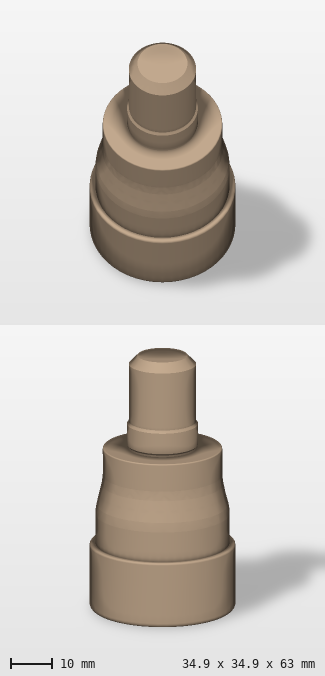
import cadquery as cq
import math

cap_radius = 17.45
cap_height = 16.2
cap_bottom_fillet = 1.15
cap_top_fillet = 0.5

lower_radius = 16.05
upper_radius = 14.3
shoulder_top = 40.0
shoulder_top_fillet = 0.3
cone_bottom = 24.7
cone_top = 32.05
cone_blend_length = 1.165

stud_radius = 8.05
collar_radius = 8.5
collar_bottom = 40.8
collar_top = 45.9
collar_top_bevel_height = 0.7
collar_bottom_bevel = collar_radius - stud_radius
foot_bevel = 0.3
total_height = 63.0
tip_radius = 6.0
tip_chamfer_height = 2.15

cone_angle = math.atan2(lower_radius - upper_radius, cone_top - cone_bottom)
cone_blend_radius = cone_blend_length / math.tan(cone_angle / 2)


def make_cap():
    """Solid disc with rounded rims that carries the post on its flat top."""
    cap = cq.Workplane("XY").circle(cap_radius).extrude(cap_height)
    cap = cap.faces("<Z").edges().fillet(cap_bottom_fillet)
    return cap.faces(">Z").edges().fillet(cap_top_fillet)


def make_shoulder():
    """Stepped round body with a blended cone between its two diameters."""
    profile = (
        cq.Workplane("XZ")
        .moveTo(0, cap_height)
        .lineTo(lower_radius, cap_height)
        .lineTo(lower_radius, cone_bottom)
        .lineTo(upper_radius, cone_top)
        .lineTo(upper_radius, shoulder_top)
        .lineTo(0, shoulder_top)
        .close()
    )
    shoulder = profile.revolve(360, (0, 0, 0), (0, 1, 0))
    cone_ends = shoulder.faces("%CONE").edges("%CIRCLE")
    shoulder = cone_ends.fillet(cone_blend_radius)
    return shoulder.faces(">Z").edges().fillet(shoulder_top_fillet)


def make_stud():
    """Round stud with a flared foot, a bevelled collar and a chamfered tip."""
    profile = (
        cq.Workplane("XZ")
        .moveTo(0, shoulder_top)
        .lineTo(stud_radius + foot_bevel, shoulder_top)
        .lineTo(stud_radius, shoulder_top + foot_bevel)
        .lineTo(stud_radius, collar_bottom - collar_bottom_bevel)
        .lineTo(collar_radius, collar_bottom)
        .lineTo(collar_radius, collar_top)
        .lineTo(stud_radius, collar_top + collar_top_bevel_height)
        .lineTo(stud_radius, total_height - tip_chamfer_height)
        .lineTo(tip_radius, total_height)
        .lineTo(0, total_height)
        .close()
    )
    return profile.revolve(360, (0, 0, 0), (0, 1, 0))


cap = make_cap()
post = make_shoulder().union(make_stud())

result = cq.Compound.makeCompound([cap.val(), post.val()])